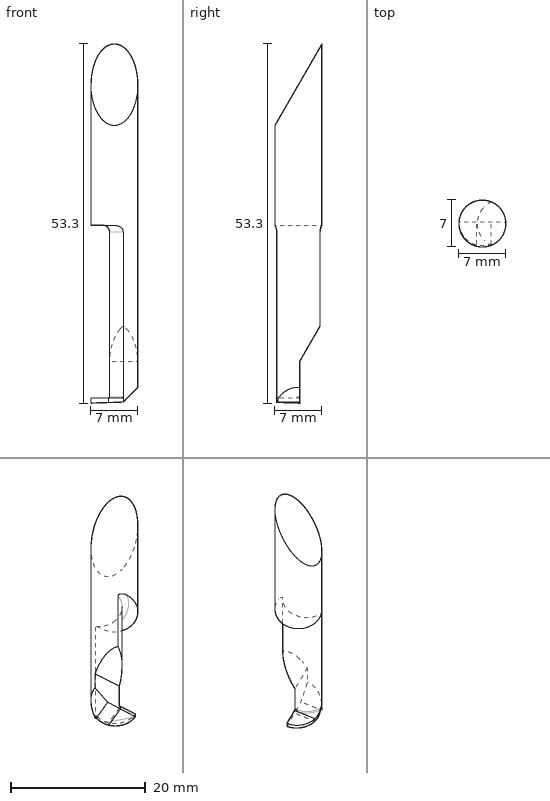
import cadquery as cq
import math

LENGTH = 53.3
DIAMETER = 7.0
RADIUS = DIAMETER / 2
SLANT_SLOPE = math.tan(math.radians(60))

NECK_FACE_X = -0.75
NECK_RADIUS = 3.55
NECK_CENTRE_X = NECK_FACE_X + NECK_RADIUS
SHOULDER_Z = 26.4
SHOULDER_FILLET = 0.95

RAKE_Y = 0.2
RAKE_TOP_Z = 6.25

FOOT_TOP_Z = 0.8
RELIEF_SLOPE = math.tan(math.radians(2))
SIDE_RELIEF_SLOPE = math.tan(math.radians(2))
FOOT_FILLET = 0.15
TIP_JOINT_X = NECK_FACE_X - FOOT_FILLET
HEEL_X = 1.35
END_BEVEL_X = 1.1


def disc(centre_y, bottom_z, top_z):
    """Cylinder of the shank radius standing between two heights."""
    return (
        cq.Workplane("XY")
        .workplane(offset=bottom_z)
        .center(0, centre_y)
        .circle(RADIUS)
        .extrude(top_z - bottom_z)
    )


def make_foot_slice(rim_centre_y, min_x, max_x):
    """Part of the foot between two X limits, with the underside rising along X."""
    limits = (
        cq.Workplane("XZ")
        .moveTo(min_x, (min_x + RADIUS) * SIDE_RELIEF_SLOPE)
        .lineTo(max_x, (max_x + RADIUS) * SIDE_RELIEF_SLOPE)
        .lineTo(max_x, FOOT_TOP_Z)
        .lineTo(min_x, FOOT_TOP_Z)
        .close()
        .extrude(DIAMETER, both=True)
    )
    return disc(rim_centre_y, 0, FOOT_TOP_Z).intersect(limits).intersect(make_side_profile())


def make_neck_core():
    """Shifted cylinder that flares into the shoulder above and the foot below."""
    diagonal = math.sqrt(0.5)
    shoulder_inset = SHOULDER_FILLET * (1 - diagonal)
    foot_inset = FOOT_FILLET * (1 - diagonal)
    return (
        cq.Workplane("XZ")
        .moveTo(0, FOOT_TOP_Z)
        .lineTo(NECK_RADIUS + FOOT_FILLET, FOOT_TOP_Z)
        .threePointArc(
            (NECK_RADIUS + foot_inset, FOOT_TOP_Z + foot_inset),
            (NECK_RADIUS, FOOT_TOP_Z + FOOT_FILLET),
        )
        .lineTo(NECK_RADIUS, SHOULDER_Z - SHOULDER_FILLET)
        .threePointArc(
            (NECK_RADIUS + shoulder_inset, SHOULDER_Z - shoulder_inset),
            (NECK_RADIUS + SHOULDER_FILLET, SHOULDER_Z),
        )
        .lineTo(0, SHOULDER_Z)
        .close()
        .revolve(360, (0, 0, 0), (0, 1, 0))
        .translate((NECK_CENTRE_X, 0, 0))
    )


def make_side_profile():
    """Profile in YZ with the slanted top, the relieved underside, the rake flat and its slanted run-out."""
    return (
        cq.Workplane("YZ")
        .moveTo(-RADIUS, (RAKE_Y + RADIUS) * RELIEF_SLOPE)
        .lineTo(RAKE_Y, 0)
        .lineTo(RAKE_Y, RAKE_TOP_Z)
        .lineTo(RADIUS, RAKE_TOP_Z + (RADIUS - RAKE_Y) * SLANT_SLOPE)
        .lineTo(RADIUS, LENGTH)
        .lineTo(-RADIUS, LENGTH - DIAMETER * SLANT_SLOPE)
        .close()
        .extrude(RADIUS, both=True)
    )


def make_end_bevel():
    """Wedge that bevels the lower end away from the tip."""
    return (
        cq.Workplane("XZ")
        .moveTo(END_BEVEL_X, 0)
        .lineTo(RADIUS, 0)
        .lineTo(RADIUS, RADIUS - END_BEVEL_X)
        .close()
        .extrude(RADIUS, both=True)
    )


def make_bar():
    upper = disc(0, SHOULDER_Z, LENGTH)
    neck = disc(0, FOOT_TOP_Z, SHOULDER_Z).intersect(make_neck_core())
    shaft = upper.union(neck).intersect(make_side_profile())
    foot = make_foot_slice(RAKE_Y, TIP_JOINT_X, HEEL_X)
    heel = make_foot_slice(0, HEEL_X, RADIUS)
    return shaft.union(foot).union(heel).cut(make_end_bevel())


def make_tip():
    """Cutting tip; its rim is centred on the rake flat for clearance behind the edge."""
    return make_foot_slice(RAKE_Y, -RADIUS, TIP_JOINT_X)


bar = make_bar()
tip = make_tip()
result = cq.Compound.makeCompound([bar.val(), tip.val()])